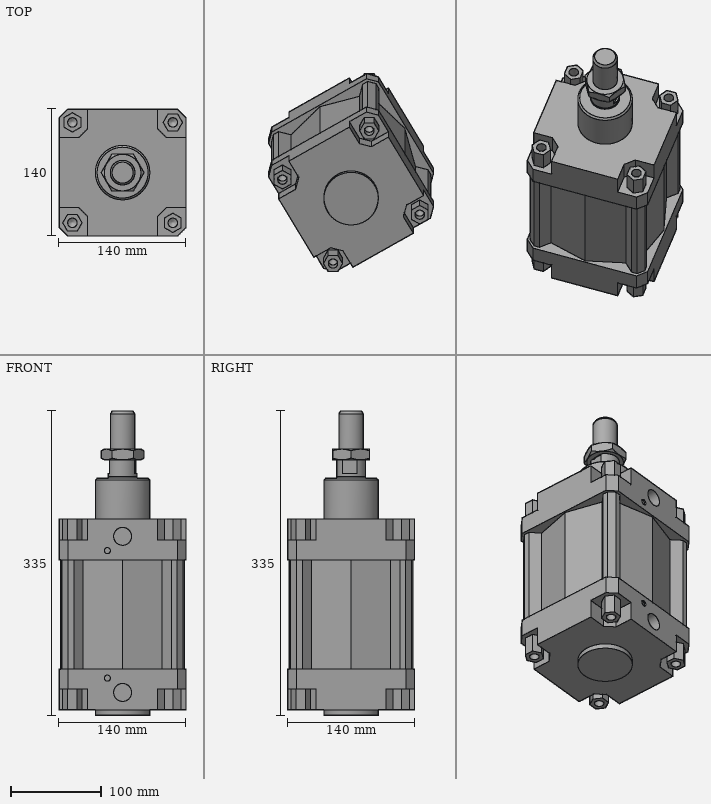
import cadquery as cq
import math


total_height = 335.0
cap_height = 45.0
bottom_boss_height = 6.0
housing_length = 210.0
collar_height = 45.0

lower_cap_bottom = bottom_boss_height
upper_cap_top = bottom_boss_height + housing_length
middle_height = (lower_cap_bottom + upper_cap_top) / 2
collar_top = upper_cap_top + collar_height

cap_width = 140.0
cap_corner_chamfer = 9.7

pocket_size = 31.5
pocket_depth = 23.0
pocket_chamfer = cap_corner_chamfer
tie_nut_spacing = 110.5
tie_nut_flats = 18.5
tie_nut_bore = 10.5
tie_nut_bore_depth = 13.5
drill_point_angle = 118.0

barrel_ridge = 68.5
valley_offset = 43.5
post_face = 66.5
post_inner_edge = 53.5
post_outer_edge = 60.0
barrel_valley = post_face - (post_inner_edge - valley_offset)

collar_diameter = 60.0
collar_chamfer = 2.0

port_diameter = 19.8
port_depth = 16.8
port_inset = 19.0
screw_hole_diameter = 6.7
screw_hole_depth = 1.7
screw_hole_inset = 35.0
screw_hole_offset = -16.8

rod_diameter = 31.8
rod_foot_diameter = 32.0
rod_foot_height = 2.0
thread_diameter = 27.0
thread_end_inset = 2.0
thread_end_height = 3.5
flat_distance = 13.7
flat_bottom = 266.3
flat_turn = -6.0

nut_bottom = 281.0
nut_thickness = 12.0
nut_flats = 41.0
nut_face_diameter = 40.2
nut_chamfer_height = 2.0


def hexagon_diameter(across_flats):
    """Diameter over the corners of a hexagon."""
    return across_flats / math.cos(math.radians(30))


def make_cap():
    """Upper end cap, with its corner pockets."""
    cap = (
        cq.Workplane("XY", origin=(0, 0, upper_cap_top - cap_height))
        .rect(cap_width, cap_width)
        .extrude(cap_height)
        .edges("|Z")
        .chamfer(cap_corner_chamfer)
    )
    pocket_centre = (cap_width - pocket_size) / 2
    pocket = (
        cq.Workplane("XY", origin=(pocket_centre, pocket_centre, upper_cap_top - pocket_depth))
        .rect(pocket_size, pocket_size)
        .extrude(pocket_depth)
        .edges("|Z and <X and <Y")
        .chamfer(pocket_chamfer)
    )
    for quarter in range(4):
        cap = cap.cut(pocket.rotate((0, 0, 0), (0, 0, 1), 90 * quarter))
    return cap


def make_tie_nut():
    """Tie-rod nut in the +X +Y corner of the upper cap, with a drilled blind bore."""
    centre = tie_nut_spacing / 2
    bore_radius = tie_nut_bore / 2
    point_depth = bore_radius / math.tan(math.radians(drill_point_angle / 2))
    bore = (
        cq.Workplane("XZ")
        .polyline([
            (0, 0),
            (bore_radius, 0),
            (bore_radius, -tie_nut_bore_depth),
            (0, -tie_nut_bore_depth - point_depth),
        ])
        .close()
        .revolve(360, (0, 0, 0), (0, 1, 0))
        .translate((centre, centre, upper_cap_top))
    )
    nut = (
        cq.Workplane("XY", origin=(centre, centre, upper_cap_top - pocket_depth))
        .polygon(6, hexagon_diameter(tie_nut_flats))
        .extrude(pocket_depth)
    )
    return nut.cut(bore)


def make_ports():
    """Air port and small screw hole of the upper cap, as solids to cut away."""
    front = -cap_width / 2
    port = (
        cq.Workplane("XZ", origin=(0, front, upper_cap_top - port_inset))
        .circle(port_diameter / 2)
        .extrude(-port_depth)
    )
    screw_hole = (
        cq.Workplane("XZ", origin=(screw_hole_offset, front, upper_cap_top - screw_hole_inset))
        .circle(screw_hole_diameter / 2)
        .extrude(-screw_hole_depth)
    )
    return port.union(screw_hole)


def make_cap_end():
    """Complete upper cap: pockets, tie-rod nuts and ports."""
    cap_end = make_cap()
    tie_nut = make_tie_nut()
    for quarter in range(4):
        cap_end = cap_end.union(tie_nut.rotate((0, 0, 0), (0, 0, 1), 90 * quarter))
    return cap_end.cut(make_ports())


def make_barrel():
    """Barrel with a shallow ridge on each side and a post at each corner."""
    quarter_outline = [
        (barrel_ridge, 0),
        (barrel_valley, valley_offset),
        (post_face, post_inner_edge),
        (post_face, post_outer_edge),
        (post_outer_edge, post_face),
        (post_inner_edge, post_face),
        (valley_offset, barrel_valley),
    ]
    outline = []
    for cosine, sine in [(1, 0), (0, 1), (-1, 0), (0, -1)]:
        outline += [(x * cosine - y * sine, x * sine + y * cosine) for x, y in quarter_outline]
    return (
        cq.Workplane("XY", origin=(0, 0, lower_cap_bottom + cap_height))
        .polyline(outline)
        .close()
        .extrude(housing_length - 2 * cap_height)
    )


def make_housing():
    """Barrel, both caps, bottom boss and rod guide collar in one piece."""
    upper_cap = make_cap_end()
    lower_cap = upper_cap.mirror("XY", (0, 0, middle_height))
    boss = cq.Workplane("XY").circle(collar_diameter / 2).extrude(bottom_boss_height)
    collar = (
        cq.Workplane("XY", origin=(0, 0, upper_cap_top))
        .circle(collar_diameter / 2)
        .extrude(collar_height)
        .faces(">Z")
        .chamfer(collar_chamfer)
    )
    return make_barrel().union(upper_cap).union(lower_cap).union(boss).union(collar)


def make_rod():
    """Piston rod standing on the collar: foot, shank with two wrench flats, thinner threaded end."""
    rod_radius = rod_diameter / 2
    foot_radius = rod_foot_diameter / 2
    thread_radius = thread_diameter / 2
    foot_top = collar_top + rod_foot_height
    rod = (
        cq.Workplane("XZ")
        .polyline([
            (0, collar_top),
            (foot_radius, collar_top),
            (foot_radius, foot_top - (foot_radius - rod_radius)),
            (rod_radius, foot_top),
            (rod_radius, nut_bottom),
            (thread_radius, nut_bottom),
            (thread_radius, total_height - thread_end_height),
            (thread_radius - thread_end_inset, total_height),
            (0, total_height),
        ])
        .close()
        .revolve(360, (0, 0, 0), (0, 1, 0))
    )
    flat_height = nut_bottom - flat_bottom
    for side in (-1, 1):
        beside_flat = (
            cq.Workplane("XY", origin=(side * (flat_distance + rod_radius / 2), 0, flat_bottom))
            .rect(rod_radius, rod_diameter)
            .extrude(flat_height)
        )
        rod = rod.cut(beside_flat)
    return rod.rotate((0, 0, 0), (0, 0, 1), flat_turn)


def make_lock_nut():
    """Hexagonal nut on the threaded end, its corners bevelled at both faces."""
    corner_radius = hexagon_diameter(nut_flats) / 2
    face_radius = nut_face_diameter / 2
    thread_radius = thread_diameter / 2
    nut_top = nut_bottom + nut_thickness
    bevelled_ring = (
        cq.Workplane("XZ")
        .polyline([
            (thread_radius, nut_bottom),
            (face_radius, nut_bottom),
            (corner_radius, nut_bottom + nut_chamfer_height),
            (corner_radius, nut_top - nut_chamfer_height),
            (face_radius, nut_top),
            (thread_radius, nut_top),
        ])
        .close()
        .revolve(360, (0, 0, 0), (0, 1, 0))
    )
    hexagon = (
        cq.Workplane("XY", origin=(0, 0, nut_bottom))
        .polygon(6, hexagon_diameter(nut_flats))
        .extrude(nut_thickness)
    )
    return hexagon.intersect(bevelled_ring)


housing = make_housing()
rod = make_rod()
lock_nut = make_lock_nut()

result = cq.Compound.makeCompound([housing.val(), rod.val(), lock_nut.val()])